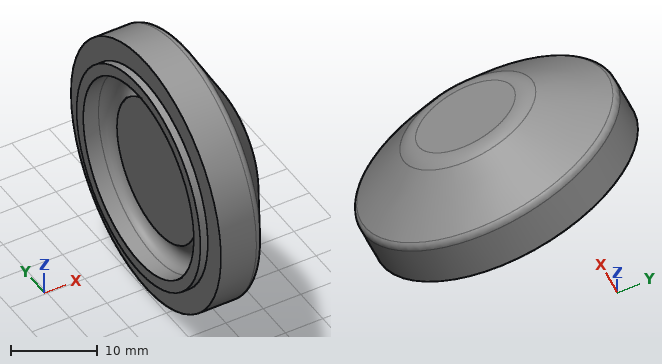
import cadquery as cq
import math

total_length = 11.5
rim_radius = 17.0
lip_radius = 14.0
lip_length = 1.0
cone_start = 6.25
cone_angle = 60.7
rim_fillet = 1.0
nose_fillet = 4.75

recess_radius = 12.5
wall_depth = 2.0
disk_depth = 2.5
disk_radius = 9.15

groove_width = recess_radius - disk_radius
disk_drop = disk_depth - wall_depth
groove_radius = (groove_width**2 + disk_drop**2) / (2 * groove_width)
groove_bottom = wall_depth + groove_radius

nose_radius = rim_radius - (total_length - cone_start) * math.tan(math.radians(cone_angle))


def make_body():
    """Revolve the lip, rim and cone, then round both ends of the cone."""
    profile = (
        cq.Workplane("XY")
        .lineTo(0, lip_radius)
        .lineTo(lip_length, lip_radius)
        .lineTo(lip_length, rim_radius)
        .lineTo(cone_start, rim_radius)
        .lineTo(total_length, nose_radius)
        .lineTo(total_length, 0)
        .close()
    )
    body = profile.revolve(360, (0, 0, 0), (1, 0, 0))
    body = body.faces(">X").edges().fillet(nose_fillet)
    corner_margin = 0.05
    box_reach = rim_radius + corner_margin
    corner_box = cq.selectors.BoxSelector(
        (cone_start - corner_margin, -box_reach, -box_reach),
        (cone_start + corner_margin, box_reach, box_reach),
    )
    return body.edges(corner_box).fillet(rim_fillet)


def make_recess():
    """Revolve the space in front of the disk, including the ring groove."""
    profile = (
        cq.Workplane("XY")
        .lineTo(0, recess_radius)
        .lineTo(wall_depth, recess_radius)
        .threePointArc(
            (groove_bottom, recess_radius - groove_radius),
            (disk_depth, disk_radius),
        )
        .lineTo(disk_depth, 0)
        .close()
    )
    return profile.revolve(360, (0, 0, 0), (1, 0, 0))


result = make_body().cut(make_recess())